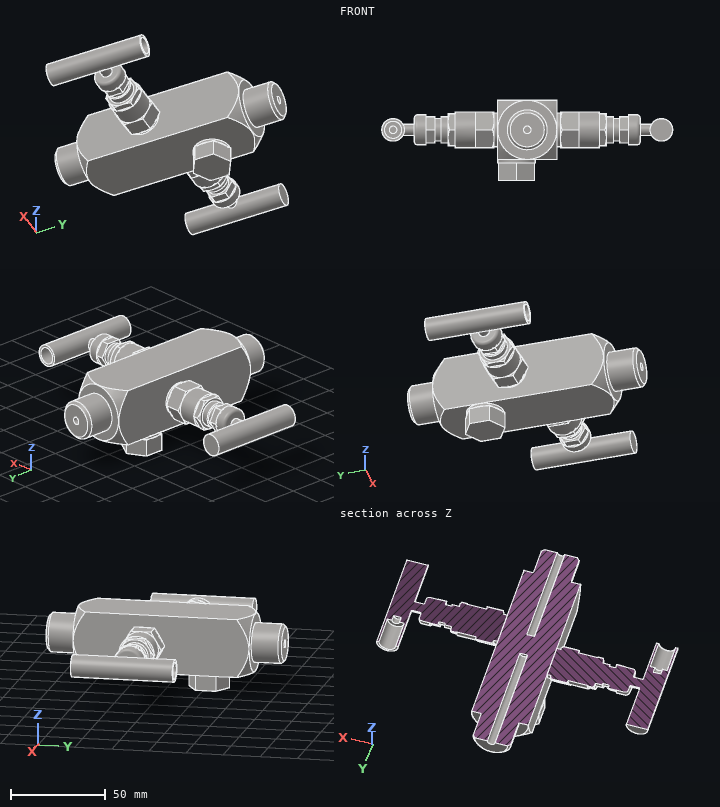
import cadquery as cq
import math

overall_x = 153.5
overall_y = 127.0
overall_z = 42.5

block_width = 31.5
block_length = 95.0
corner_cone_dia = 31.2
stud_dia = 21.0
stud_chamfer = 1.5
flow_bore_dia = 4.0

plug_x = -5.7
plug_y = 21.5
plug_neck_dia = 20.0
plug_neck_height = 1.7
plug_across_flats = 19.0

left_valve_y = 4.5
right_valve_y = -8.5

hex_chamfer_taper = 60
hex_chamfer_clearance = 0.2
seat_dia = 18.0
seat_length = 1.8
bonnet_across_flats = 19.0
bonnet_hex_length = 9.8
bonnet_barrel_dia = 19.0
bonnet_barrel_length = 10.6
lock_nut_across_flats = 17.0
lock_nut_length = 3.7
collar_dia = 14.0
collar_length = 3.8
thread_dia = 12.0
thread_length = 3.2
gland_across_flats = 14.0
gland_hex_length = 4.6
gland_dia = 16.0
gland_length = 6.3
gland_fillet = 1.8
stem_dia = 6.0

handle_dia = 12.0
handle_length = 55.0
handle_socket_dia = 9.0
handle_socket_depth = 15.4
handle_pilot_dia = 4.0
handle_pilot_depth = 3.0

hex_half_angle = 30
block_face = block_width / 2
handle_offset = (overall_x - handle_dia) / 2


def hex_prism(plane, across_flats, length):
    """Hexagonal prism with two corners on the local X axis of the plane."""
    across_corners = across_flats / math.cos(math.radians(hex_half_angle))
    return cq.Workplane(plane).polygon(6, across_corners).extrude(length)


def cylinder_y(diameter, length):
    """Cylinder along Y, centred on the origin."""
    return cq.Workplane("XZ", origin=(0, length / 2, 0)).circle(diameter / 2).extrude(length)


def make_plug():
    neck_top = -block_width / 2
    hex_bottom = block_width / 2 - overall_z
    hex_height = overall_z - block_width - plug_neck_height
    neck = (
        cq.Workplane("XY", origin=(plug_x, plug_y, neck_top))
        .circle(plug_neck_dia / 2)
        .extrude(-plug_neck_height)
    )
    hex_plane = cq.Plane((plug_x, plug_y, hex_bottom), xDir=(0, 1, 0), normal=(0, 0, 1))
    return neck.union(hex_prism(hex_plane, plug_across_flats, hex_height))


def make_block():
    bar = cq.Workplane("XY").box(block_width, block_length, block_width)

    cone_radius = corner_cone_dia / 2
    turned_radius = block_width
    turned_depth = turned_radius - cone_radius
    turned_envelope = (
        cylinder_y(2 * turned_radius, block_length)
        .faces("<Y or >Y")
        .chamfer(turned_depth)
    )
    bar = bar.intersect(turned_envelope)

    studs = cylinder_y(stud_dia, overall_y).faces("<Y or >Y").chamfer(stud_chamfer)
    block = bar.union(studs).union(make_plug())

    for side, valve_y in ((1, left_valve_y), (-1, right_valve_y)):
        bore_depth = overall_y / 2 - abs(valve_y)
        bore = (
            cq.Workplane("XZ", origin=(0, side * overall_y / 2, 0))
            .circle(flow_bore_dia / 2)
            .extrude(side * bore_depth)
        )
        block = block.cut(bore)
    return block


def make_handle():
    """T-bar along Y, centred on the origin, with a stepped socket in its -Y end."""
    bar = cylinder_y(handle_dia, handle_length)
    socket = (
        cq.Workplane("XZ", origin=(0, -handle_length / 2, 0))
        .circle(handle_socket_dia / 2)
        .extrude(-handle_socket_depth)
    )
    pilot = (
        cq.Workplane("XZ", origin=(0, -handle_length / 2 + handle_socket_depth, 0))
        .circle(handle_pilot_dia / 2)
        .extrude(-handle_pilot_depth)
    )
    return bar.cut(socket).cut(pilot)


def make_valve():
    """Valve pointing along -X with its stem on the X axis, seated on the block face."""

    def stage_plane(distance):
        return cq.Plane((-distance, 0, 0), xDir=(0, 1, 0), normal=(-1, 0, 0))

    def round_stage(start, diameter, length):
        return cq.Workplane(stage_plane(start)).circle(diameter / 2).extrude(length)

    def hex_stage(start, across_flats, length):
        return hex_prism(stage_plane(start), across_flats, length)

    def chamfer_cone(end_plane, across_flats, length):
        """Cone that widens from a hexagon's turned end and knocks its corners back there."""
        end_dia = across_flats + hex_chamfer_clearance
        return cq.Workplane(end_plane).circle(end_dia / 2).extrude(length, taper=-hex_chamfer_taper)

    bonnet_hex_start = block_face + seat_length
    barrel_start = bonnet_hex_start + bonnet_hex_length
    lock_nut_start = barrel_start + bonnet_barrel_length
    collar_start = lock_nut_start + lock_nut_length
    thread_start = collar_start + collar_length
    gland_hex_start = thread_start + thread_length
    gland_start = gland_hex_start + gland_hex_length
    gland_end = gland_start + gland_length

    bonnet_hex = hex_stage(bonnet_hex_start, bonnet_across_flats, bonnet_hex_length).intersect(
        chamfer_cone(stage_plane(bonnet_hex_start), bonnet_across_flats, bonnet_hex_length)
    )
    lock_nut_outer_plane = cq.Plane((-collar_start, 0, 0), xDir=(0, 1, 0), normal=(1, 0, 0))
    lock_nut = hex_stage(lock_nut_start, lock_nut_across_flats, lock_nut_length).intersect(
        chamfer_cone(lock_nut_outer_plane, lock_nut_across_flats, lock_nut_length)
    )

    valve = (
        round_stage(block_face, seat_dia, seat_length)
        .union(bonnet_hex)
        .union(round_stage(barrel_start, bonnet_barrel_dia, bonnet_barrel_length))
        .union(lock_nut)
        .union(round_stage(collar_start, collar_dia, collar_length))
        .union(round_stage(thread_start, thread_dia, thread_length))
        .union(hex_stage(gland_hex_start, gland_across_flats, gland_hex_length))
    )
    gland = round_stage(gland_start, gland_dia, gland_length).faces("<X").edges().fillet(gland_fillet)
    stem = round_stage(gland_end, stem_dia, handle_offset - gland_end)
    handle = make_handle().translate((-handle_offset, 0, 0))
    return valve.union(gland).union(stem).union(handle)


block = make_block()

valves = []
for turn, valve_y in ((0, left_valve_y), (180, right_valve_y)):
    valve = make_valve().rotate((0, 0, 0), (0, 0, 1), turn).translate((0, valve_y, 0))
    valves.append(valve.val())

result = cq.Compound.makeCompound([block.val(), *valves])